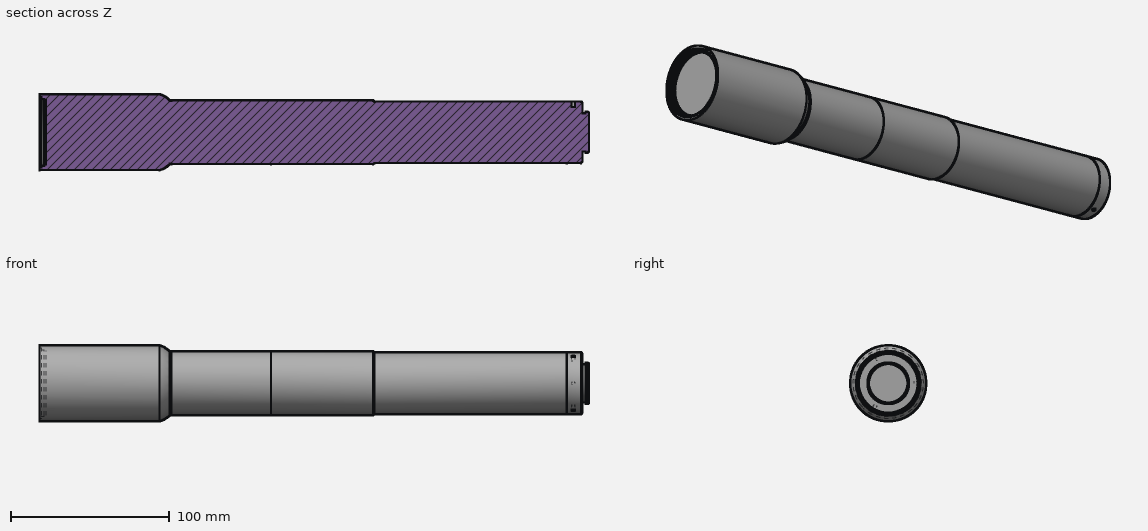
import cadquery as cq
import math

total_length = 346.2
head_length = 75.8
shoulder_end = 82.0
body_start = 83.0
body_joint = 145.8
body_end = 211.2
cap_start = 332.0
cap_end = 342.0
neck_end = 343.8

head_diameter = 48.0
body_diameter = 40.5
barrel_diameter = 39.0
neck_diameter = 24.2
flange_diameter = 26.3

shoulder_bulge = 0.52

body_chamfer = 1.0
cap_chamfer = 1.0
flange_chamfer = 1.0
seam_width = 0.2
seam_depth = 0.15
shoulder_groove_depth = 0.52

recess_mouth_diameter = 44.3
recess_mouth_depth = 1.5
recess_middle_diameter = 42.0
recess_middle_depth = 3.0
recess_diameter = 40.5
recess_depth = 4.0

screw_count = 3
screw_diameter = 2.0
screw_depth = 3.5
screw_position = 336.2


def cylinder(start, end, diameter):
    """Solid cylinder on the X axis between two positions."""
    return cq.Workplane("YZ", origin=(start, 0, 0)).circle(diameter / 2).extrude(end - start)


def ring_groove(start, width, diameter, depth):
    """Ring to cut from a cylinder of the given diameter."""
    return cylinder(start, start + width, diameter + depth).cut(
        cylinder(start, start + width, diameter - 2 * depth)
    )


def make_head():
    """Head tapering to the body through a slightly convex shoulder."""
    head_radius = head_diameter / 2
    drop = head_radius - body_diameter / 2
    run = shoulder_end - head_length
    chord = math.hypot(run, drop)
    shoulder_middle = (
        head_length + run / 2 + shoulder_bulge * drop / chord,
        head_radius - drop / 2 + shoulder_bulge * run / chord,
    )
    return (
        cq.Workplane("XY")
        .moveTo(0, 0)
        .lineTo(0, head_radius)
        .lineTo(head_length, head_radius)
        .threePointArc(shoulder_middle, (shoulder_end, body_diameter / 2))
        .lineTo(shoulder_end, 0)
        .close()
        .revolve(360, (0, 0, 0), (1, 0, 0))
    )


def make_screw_hole(angle):
    """Blind radial hole, with its angle measured from +Y toward +Z."""
    hole = (
        cq.Workplane("XZ", origin=(screw_position, barrel_diameter / 2 - screw_depth, 0))
        .circle(screw_diameter / 2)
        .extrude(-2 * screw_depth)
    )
    return hole.rotate((0, 0, 0), (1, 0, 0), angle)


body = cylinder(shoulder_end, body_end, body_diameter).faces(">X").chamfer(body_chamfer)
barrel = cylinder(body_end, cap_end, barrel_diameter).faces(">X").chamfer(cap_chamfer)
neck = cylinder(cap_end, neck_end, neck_diameter)
flange = cylinder(neck_end, total_length, flange_diameter).faces(">X").chamfer(flange_chamfer)
result = make_head().union(body).union(barrel).union(neck).union(flange)

result = result.cut(cylinder(0, recess_mouth_depth, recess_mouth_diameter))
result = result.cut(cylinder(0, recess_middle_depth, recess_middle_diameter))
result = result.cut(cylinder(0, recess_depth, recess_diameter))

groove_width = body_start - shoulder_end
result = result.cut(ring_groove(shoulder_end, groove_width, body_diameter, shoulder_groove_depth))
result = result.cut(ring_groove(body_joint, seam_width, body_diameter, seam_depth))
result = result.cut(ring_groove(cap_start, seam_width, barrel_diameter, seam_depth))

for index in range(screw_count):
    result = result.cut(make_screw_hole(index * 360 / screw_count))